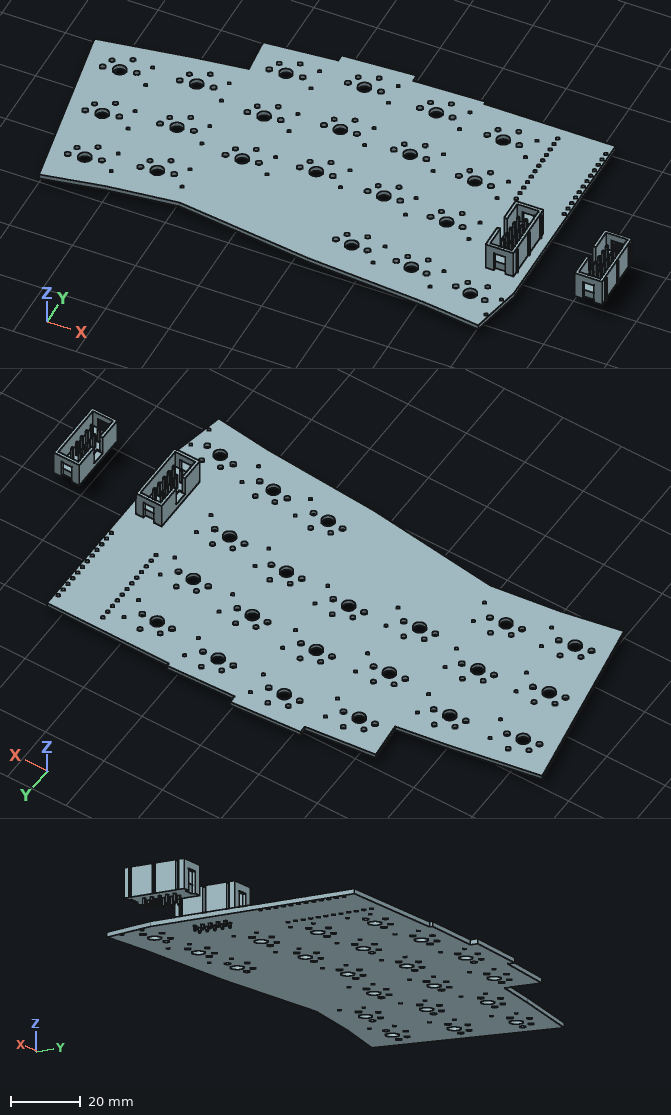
import cadquery as cq
import math


OVERALL_LENGTH = 179.94
BOARD_THICKNESS = 1.6

BOARD_OUTLINE = [
    (0.0, 62.2),
    (29.0, 67.2),
    (45.5, 69.6),
    (44.4, 81.5),
    (67.2, 83.8),
    (67.1, 86.1),
    (90.3, 87.63),
    (90.3, 85.2),
    (112.9, 86.1),
    (112.9, 85.1),
    (154.6, 85.1),
    (154.6, 16.7),
    (151.1, 0.0),
    (132.8, 2.2),
    (94.8, 4.8),
    (51.5, 10.2),
    (29.3, 7.4),
    (10.0, 3.7),
]

KEY_PITCH = 19.05
KEY_COLUMNS = [
    ((15.5, 34.7), 10, [0.2, -0.4, -0.4]),
    ((37.35, 38.6), 8, [-0.6, -0.6, -0.8]),
    ((57.95, 53.5), 6, [0, 0.2, 0.2]),
    ((80.15, 57.75), 4, [0.2, 0.2, 0.2]),
    ((102.7, 56.8), 2, [-1.0, 0, 0.1]),
    ((124.3, 54.6), 0, [0, 0, 0]),
    ((103.8, 15.2), -2, [0]),
    ((123.3, 14.0), -6, [-0.4]),
    ((143.25, 11.3), -10, [-0.9]),
]

STEM_HOLE_DIAMETER = 3.99
SIDE_PEG_DIAMETER = 1.8
SIDE_PEG_OFFSET = 5.08
SWITCH_PIN_DIAMETER = 1.5
SWITCH_PIN_POINTS = [(-3.2, 3.3), (2.54, 5.08)]
DIODE_HOLE_DIAMETER = 0.99
DIODE_OFFSET = 8.85
DIODE_LEAD_SPACING = 7.62

GRID_PITCH = 2.54
CONTROLLER_HOLE_DIAMETER = 1.09
CONTROLLER_HOLES_PER_ROW = 12
CONTROLLER_ROW_SPACING = 6 * GRID_PITCH
CONTROLLER_CENTER = (145.8, 66.9)

HEADER_PIN_ROWS = 5
HEADER_WIDTH = 8.8
HEADER_LENGTH = 20.2
HEADER_HEIGHT = 9.1
HEADER_WALL = 1.0
HEADER_FLOOR = 2.7
KEYWAY_WIDTH = 4.5
KEYWAY_DEPTH = 2.0
KEYWAY_BOTTOM = 2.2
END_SLOT_WIDTH = 3.6
END_SLOT_TOP = 6.6
RIB_WIDTH = 0.7
RIB_DEPTH = 0.35
RIB_TOP_GAP = 0.5
RIB_SPACING = 7.9
PIN_SIDE = 0.64
PIN_BELOW = 3.0
PIN_TOP = 8.4
PIN_TIP_LENGTH = 0.5
PIN_TIP_SIDE = 0.3
HEADER_HOLE_DIAMETER = 1.02
HEADER_Y = 33.0
MOUNTED_HEADER_CENTER = (147.05, HEADER_Y)
LOOSE_HEADER_CENTER = (OVERALL_LENGTH - RIB_DEPTH - HEADER_WIDTH / 2, HEADER_Y)



def key_placements():
    """Centre, tilt and diode shift of every key; a column runs along its own tilted axis."""
    placements = []
    for (x, y), tilt, diode_shifts in KEY_COLUMNS:
        angle = math.radians(tilt)
        middle = (len(diode_shifts) - 1) / 2
        for index, diode_shift in enumerate(diode_shifts):
            along = (index - middle) * KEY_PITCH
            center = (x - along * math.sin(angle), y + along * math.cos(angle))
            placements.append((center, tilt, diode_shift))
    return placements


def on_key(point, center, tilt):
    """Moves a point given from a key's centre onto the board."""
    x, y = center
    angle = math.radians(tilt)
    u, v = point
    return (
        x + u * math.cos(angle) - v * math.sin(angle),
        y + u * math.sin(angle) + v * math.cos(angle),
    )


def grid_points(center, columns, column_spacing, rows, row_spacing):
    """Points of a rectangular grid about a centre."""
    x, y = center
    return [
        (
            x + (column - (columns - 1) / 2) * column_spacing,
            y + (row - (rows - 1) / 2) * row_spacing,
        )
        for column in range(columns)
        for row in range(rows)
    ]


def header_pin_points(center):
    return grid_points(center, 2, GRID_PITCH, HEADER_PIN_ROWS, GRID_PITCH)


def drill(board, points, diameter):
    cutters = (
        cq.Workplane("XY").pushPoints(points).circle(diameter / 2).extrude(BOARD_THICKNESS)
    )
    return board.cut(cutters)


def make_board():
    board = cq.Workplane("XY").polyline(BOARD_OUTLINE).close().extrude(BOARD_THICKNESS)

    switch_holes = [
        ([(0, 0)], STEM_HOLE_DIAMETER),
        ([(-SIDE_PEG_OFFSET, 0), (SIDE_PEG_OFFSET, 0)], SIDE_PEG_DIAMETER),
        (SWITCH_PIN_POINTS, SWITCH_PIN_DIAMETER),
    ]
    keys = key_placements()
    for local_points, diameter in switch_holes:
        points = [on_key(point, center, tilt) for center, tilt, _ in keys for point in local_points]
        board = drill(board, points, diameter)

    diode_points = [
        on_key((DIODE_OFFSET, diode_shift + side * DIODE_LEAD_SPACING / 2), center, tilt)
        for center, tilt, diode_shift in keys
        for side in (-1, 1)
    ]
    board = drill(board, diode_points, DIODE_HOLE_DIAMETER)

    controller_points = grid_points(
        CONTROLLER_CENTER, 2, CONTROLLER_ROW_SPACING, CONTROLLER_HOLES_PER_ROW, GRID_PITCH
    )
    board = drill(board, controller_points, CONTROLLER_HOLE_DIAMETER)
    return drill(board, header_pin_points(MOUNTED_HEADER_CENTER), HEADER_HOLE_DIAMETER)



def block(x_range, y_range, z_range):
    """Box between two limits along each axis."""
    sizes = [high - low for low, high in (x_range, y_range, z_range)]
    corner = (x_range[0], y_range[0], z_range[0])
    return cq.Workplane("XY").box(*sizes, centered=False).translate(corner)


def make_shroud():
    """Open-topped shroud, standing on Z = 0 about the origin."""
    half_width = HEADER_WIDTH / 2
    half_length = HEADER_LENGTH / 2
    inner_width = half_width - HEADER_WALL
    inner_length = half_length - HEADER_WALL

    shroud = block((-half_width, half_width), (-half_length, half_length), (0, HEADER_HEIGHT))
    cavity = block(
        (-inner_width, inner_width), (-inner_length, inner_length), (HEADER_FLOOR, HEADER_HEIGHT)
    )
    keyway = block(
        (-half_width, KEYWAY_DEPTH - half_width),
        (-KEYWAY_WIDTH / 2, KEYWAY_WIDTH / 2),
        (KEYWAY_BOTTOM, HEADER_HEIGHT),
    )
    shroud = shroud.cut(cavity).cut(keyway)

    end_slot_x = (-END_SLOT_WIDTH / 2, END_SLOT_WIDTH / 2)
    for end_y in [(-half_length, -inner_length), (inner_length, half_length)]:
        shroud = shroud.cut(block(end_slot_x, end_y, (0, END_SLOT_TOP)))

    for rib_y in [-RIB_SPACING, 0, RIB_SPACING]:
        rib = block(
            (half_width, half_width + RIB_DEPTH),
            (rib_y - RIB_WIDTH / 2, rib_y + RIB_WIDTH / 2),
            (0, HEADER_HEIGHT - RIB_TOP_GAP),
        )
        shroud = shroud.union(rib)
    return shroud


def make_pin():
    """Square pin with a tapered tip at both ends."""
    shank_bottom = PIN_TIP_LENGTH - PIN_BELOW
    shank_top = PIN_TOP - PIN_TIP_LENGTH
    half_side = PIN_SIDE / 2
    pin = block((-half_side, half_side), (-half_side, half_side), (shank_bottom, shank_top))
    taper = math.degrees(math.atan2((PIN_SIDE - PIN_TIP_SIDE) / 2, PIN_TIP_LENGTH))
    for shank_end, direction in [(shank_bottom, -1), (shank_top, 1)]:
        tip = (
            cq.Workplane("XY", origin=(0, 0, shank_end))
            .rect(PIN_SIDE, PIN_SIDE)
            .extrude(direction * PIN_TIP_LENGTH, taper=taper)
        )
        pin = pin.union(tip)
    return pin


def make_header(center):
    header = make_shroud()
    pin = make_pin()
    for x, y in header_pin_points((0, 0)):
        header = header.union(pin.translate((x, y, 0)))
    return header.translate((center[0], center[1], BOARD_THICKNESS))



board = make_board()
headers = [make_header(center) for center in (MOUNTED_HEADER_CENTER, LOOSE_HEADER_CENTER)]

result = cq.Compound.makeCompound([board.val(), *[header.val() for header in headers]])